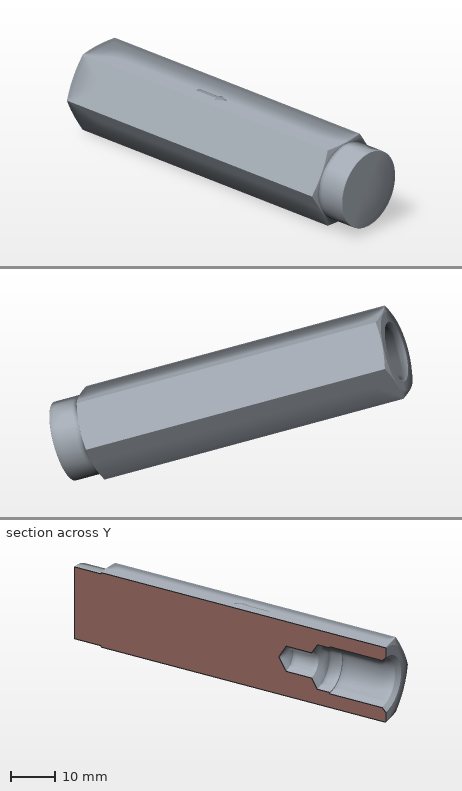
import cadquery as cq
import math

total_length = 80.8
across_flats = 19.1
spigot_length = 6.9
hex_length = total_length - spigot_length
x_start = -total_length / 2
x_shoulder = x_start + hex_length

chamfer_circle = 18.6
chamfer_angle = 18.0

spigot_diameter = 18.4
spigot_chamfer = 0.1

mouth_diameter = 13.9
bore_diameter = 11.9
seat_diameter = 11.2
pilot_diameter = 6.3
mouth_depth = 1.0
bore_depth = 14.5
seat_depth = 17.8
pilot_depth = 25.85
drill_tip_angle = 118.0

arrow_tail_x = -8.9
arrow_neck_x = -2.8
arrow_tip_x = 0.0
arrow_y = -1.8
arrow_shaft_width = 1.05
arrow_head_width = 2.3
arrow_depth = 0.2


def revolve_profile(points):
    """Turn an outline of (x, radius) points about the X axis."""
    return cq.Workplane("XY").polyline(points).close().revolve(360, (0, 0, 0), (1, 0, 0))


def make_hex_body():
    """Hexagonal bar with flats facing +Z and -Z and both ends turned to a cone."""
    corner_diameter = across_flats / math.cos(math.pi / 6)
    bar = (
        cq.Workplane("YZ", origin=(x_start, 0, 0))
        .polygon(6, corner_diameter)
        .extrude(hex_length)
    )
    face_radius = chamfer_circle / 2
    corner_radius = corner_diameter / 2
    setback = (corner_radius - face_radius) * math.tan(math.radians(chamfer_angle))
    envelope = revolve_profile([
        (x_start, 0),
        (x_start, face_radius),
        (x_start + setback, corner_radius),
        (x_shoulder - setback, corner_radius),
        (x_shoulder, face_radius),
        (x_shoulder, 0),
    ])
    return bar.intersect(envelope)


def make_spigot():
    """Round spigot with a small chamfer on its free end."""
    spigot = (
        cq.Workplane("YZ", origin=(x_shoulder, 0, 0))
        .circle(spigot_diameter / 2)
        .extrude(spigot_length)
    )
    return spigot.faces(">X").edges().chamfer(spigot_chamfer)


def make_bore():
    """Countersunk blind bore stepping down to a seat and a pilot hole, each ending in a drill cone."""
    cone_slope = 1 / math.tan(math.radians(drill_tip_angle / 2))
    seat_cone_length = (seat_diameter - pilot_diameter) / 2 * cone_slope
    pilot_cone_length = pilot_diameter / 2 * cone_slope
    x_seat = x_start + seat_depth
    x_pilot = x_start + pilot_depth
    return revolve_profile([
        (x_start, 0),
        (x_start, mouth_diameter / 2),
        (x_start + mouth_depth, bore_diameter / 2),
        (x_start + bore_depth, bore_diameter / 2),
        (x_start + bore_depth, seat_diameter / 2),
        (x_seat, seat_diameter / 2),
        (x_seat + seat_cone_length, pilot_diameter / 2),
        (x_pilot, pilot_diameter / 2),
        (x_pilot + pilot_cone_length, 0),
    ])


def make_arrow():
    """Shallow arrow pointing along +X, sunk into the top flat."""
    half_shaft = arrow_shaft_width / 2
    half_head = arrow_head_width / 2
    return (
        cq.Workplane("XY", origin=(0, arrow_y, across_flats / 2 - arrow_depth))
        .polyline([
            (arrow_tail_x, -half_shaft),
            (arrow_neck_x, -half_shaft),
            (arrow_neck_x, -half_head),
            (arrow_tip_x, 0),
            (arrow_neck_x, half_head),
            (arrow_neck_x, half_shaft),
            (arrow_tail_x, half_shaft),
        ])
        .close()
        .extrude(arrow_depth)
    )


result = make_hex_body().union(make_spigot()).cut(make_bore()).cut(make_arrow())